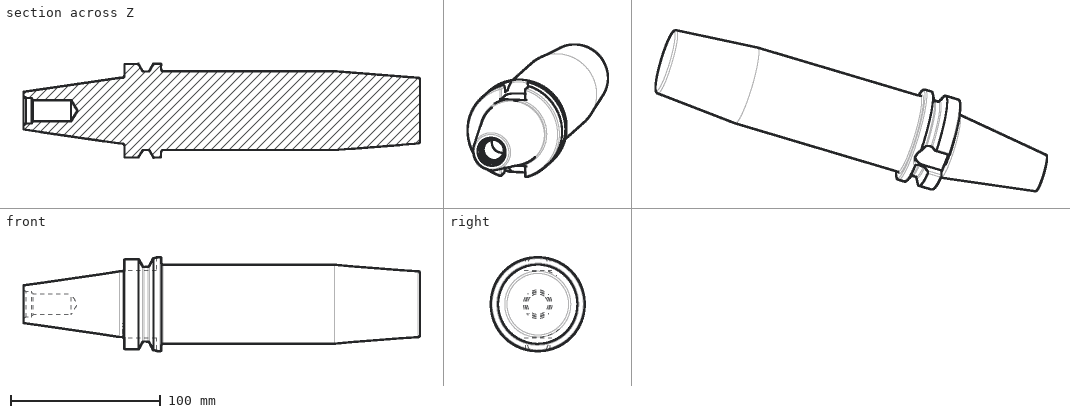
import cadquery as cq
import math


TAPER_RATIO = 7 / 24
GAUGE_RADIUS = 44.45 / 2
SHANK_LENGTH = 65.4
TAPER_OVERRUN = 1.0
LAND_RADIUS = GAUGE_RADIUS - TAPER_OVERRUN * TAPER_RATIO / 2
TIP_FILLET = 1.0

FLANGE_RADIUS = 63 / 2
FLANGE_START = 2.0
FLANGE_END = 27.0
FLANGE_EDGE_FILLET = 1.0
FLANGE_ROOT_FILLET = 1.0
GROOVE_CENTRE = 16.6
GROOVE_BOTTOM_WIDTH = 4.0
GROOVE_BOTTOM_RADIUS = 52.6 / 2
GROOVE_FILLET = 1.0
GROOVE_WALL_ANGLE = 30

SLOT_WIDTH = 16.1
SLOT_FLOOR = 22.6
SLOT_END = 23.5

BODY_RADIUS = 53 / 2
NOSE_RADIUS = 44 / 2
NOSE_ANGLE = 4.5
BODY_END = 200.0
NOSE_FILLET = 1.5

MOUTH_RADIUS = 19.2 / 2
MOUTH_DEPTH = 1.8
COUNTERBORE_RADIUS = 17 / 2
COUNTERBORE_DEPTH = 5.5
LEAD_IN_RADIUS = 16 / 2
BORE_RADIUS = 13.8 / 2
BORE_DEPTH = 32.0
DRILL_POINT_ANGLE = 59


def revolve_about_axis(profile):
    return profile.close().revolve(360, (0, 0, 0), (1, 0, 0))


def make_shank():
    tip_x = -SHANK_LENGTH
    tip_radius = GAUGE_RADIUS - SHANK_LENGTH * TAPER_RATIO / 2
    profile = (
        cq.Workplane("XY")
        .moveTo(tip_x, 0)
        .lineTo(tip_x, tip_radius)
        .lineTo(-TAPER_OVERRUN, LAND_RADIUS)
        .lineTo(FLANGE_START, LAND_RADIUS)
        .lineTo(FLANGE_START, 0)
    )
    return revolve_about_axis(profile).faces("<X").edges().fillet(TIP_FILLET)


def make_grooved_disc():
    half_bottom = GROOVE_BOTTOM_WIDTH / 2
    wall_run = (FLANGE_RADIUS - GROOVE_BOTTOM_RADIUS) * math.tan(math.radians(GROOVE_WALL_ANGLE))
    half_top = half_bottom + wall_run
    profile = (
        cq.Workplane("XY")
        .moveTo(FLANGE_START, 0)
        .lineTo(FLANGE_START, FLANGE_RADIUS)
        .lineTo(GROOVE_CENTRE - half_top, FLANGE_RADIUS)
        .lineTo(GROOVE_CENTRE - half_bottom, GROOVE_BOTTOM_RADIUS)
        .lineTo(GROOVE_CENTRE + half_bottom, GROOVE_BOTTOM_RADIUS)
        .lineTo(GROOVE_CENTRE + half_top, FLANGE_RADIUS)
        .lineTo(FLANGE_END, FLANGE_RADIUS)
        .lineTo(FLANGE_END, 0)
    )
    disc = revolve_about_axis(profile)
    groove_bottom_edges = cq.selectors.RadiusNthSelector(0)
    return disc.edges(groove_bottom_edges).fillet(GROOVE_FILLET)


def cut_drive_slots(solid):
    half_width = SLOT_WIDTH / 2
    end_centre = SLOT_END - half_width
    slot = (
        cq.Workplane("XY", origin=(0, 0, SLOT_FLOOR))
        .moveTo(0, -half_width)
        .lineTo(end_centre, -half_width)
        .threePointArc((SLOT_END, 0), (end_centre, half_width))
        .lineTo(0, half_width)
        .close()
        .extrude(FLANGE_RADIUS)
    )
    return solid.cut(slot).cut(slot.mirror("XY"))


def slot_rim_selector(side):
    """Edges where the slot on the +Z (1) or -Z (-1) side meets the flange's outer cylinder."""
    wall_height = math.sqrt(FLANGE_RADIUS**2 - (SLOT_WIDTH / 2) ** 2)
    margin = 0.5
    return cq.selectors.BoxSelector(
        (FLANGE_START, -SLOT_WIDTH, side * (wall_height - margin)),
        (FLANGE_END, SLOT_WIDTH, side * (FLANGE_RADIUS + margin)),
    )


def make_flange():
    flange = make_grooved_disc().faces(">X").edges().fillet(FLANGE_EDGE_FILLET)
    flange = cut_drive_slots(flange)
    return (
        flange.faces("<X")
        .edges("not |Y")
        .add(flange.edges(slot_rim_selector(1)))
        .add(flange.edges(slot_rim_selector(-1)))
        .fillet(FLANGE_EDGE_FILLET)
    )


def make_body():
    nose_start = BODY_END - (BODY_RADIUS - NOSE_RADIUS) / math.tan(math.radians(NOSE_ANGLE))
    profile = (
        cq.Workplane("XY")
        .moveTo(FLANGE_END, 0)
        .lineTo(FLANGE_END, BODY_RADIUS)
        .lineTo(nose_start, BODY_RADIUS)
        .lineTo(BODY_END, NOSE_RADIUS)
        .lineTo(BODY_END, 0)
    )
    return revolve_about_axis(profile).faces(">X").edges().fillet(NOSE_FILLET)


def make_root_fillet(face_x, radius, direction):
    """Ring filling the inside corner between a cylinder and a flange face."""
    size = FLANGE_ROOT_FILLET
    profile = (
        cq.Workplane("XY")
        .moveTo(face_x, radius)
        .lineTo(face_x, radius + size)
        .radiusArc((face_x + direction * size, radius), -direction * size)
    )
    return revolve_about_axis(profile)


def make_drawbar_bore():
    tip_x = -SHANK_LENGTH
    lead_in_depth = COUNTERBORE_DEPTH + LEAD_IN_RADIUS - BORE_RADIUS
    point_depth = BORE_DEPTH + BORE_RADIUS / math.tan(math.radians(DRILL_POINT_ANGLE))

    profile = (
        cq.Workplane("XY")
        .moveTo(tip_x, 0)
        .lineTo(tip_x, MOUTH_RADIUS)
        .lineTo(tip_x + MOUTH_DEPTH, COUNTERBORE_RADIUS)
        .lineTo(tip_x + COUNTERBORE_DEPTH, COUNTERBORE_RADIUS)
        .lineTo(tip_x + COUNTERBORE_DEPTH, LEAD_IN_RADIUS)
        .lineTo(tip_x + lead_in_depth, BORE_RADIUS)
        .lineTo(tip_x + BORE_DEPTH, BORE_RADIUS)
        .lineTo(tip_x + point_depth, 0)
    )
    return revolve_about_axis(profile)


front_root = cut_drive_slots(make_root_fillet(FLANGE_START, LAND_RADIUS, -1))
rear_root = make_root_fillet(FLANGE_END, BODY_RADIUS, 1)

result = (
    make_shank()
    .union(make_flange())
    .union(make_body())
    .union(front_root)
    .union(rear_root)
    .cut(make_drawbar_bore())
)